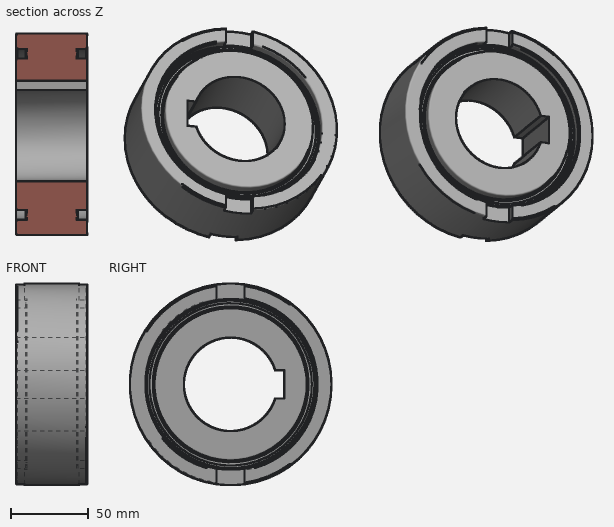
import cadquery as cq

width = 46.0
outer_radius = 65.0
bore_radius = 30.0
rim_fillet = 1.0

recess_outer_radius = 55.0
hub_radius = 49.0
recess_depth = 7.0

shield_outer_radius = 54.0
shield_middle_radius = 52.3
shield_inner_radius = 50.2
shield_step = 0.5

slot_width = 18.0
slot_depth = 5.5
slot_floor = (recess_outer_radius + hub_radius) / 2
keyway_width = 18.0
keyway_reach = 34.5


def cylinder(radius):
    """Full-width cylinder along X, centred on the origin."""
    return cq.Workplane("YZ", origin=(-width / 2, 0, 0)).circle(radius).extrude(width)


def end_recess():
    """Annular recess in the high-X end face, above its floor and shield."""
    end = width / 2
    floor = end - recess_depth
    lower_face = floor + shield_step
    upper_face = lower_face + shield_step
    profile = [
        (end, hub_radius),
        (floor, hub_radius),
        (floor, shield_inner_radius),
        (lower_face, shield_inner_radius),
        (lower_face, shield_middle_radius),
        (upper_face, shield_middle_radius),
        (upper_face, shield_outer_radius),
        (floor, shield_outer_radius),
        (floor, recess_outer_radius),
        (end, recess_outer_radius),
    ]
    return cq.Workplane("XY").polyline(profile).close().revolve(360, (0, 0, 0), (1, 0, 0))


recess = end_recess()
body = cylinder(outer_radius).cut(recess).cut(recess.mirror("YZ"))
body = body.faces("<X or >X").edges().fillet(rim_fillet)

body = body.cut(cylinder(bore_radius))

slot_height = 2 * (outer_radius - slot_floor)
slot = cq.Workplane("XY").box(slot_depth, slot_width, slot_height)
slot_x = (width - slot_depth) / 2
for x in (-slot_x, slot_x):
    for z in (-outer_radius, outer_radius):
        body = body.cut(slot.translate((x, 0, z)))

keyway = cq.Workplane("XY").box(width, keyway_reach, keyway_width).translate((0, keyway_reach / 2, 0))
result = body.cut(keyway)